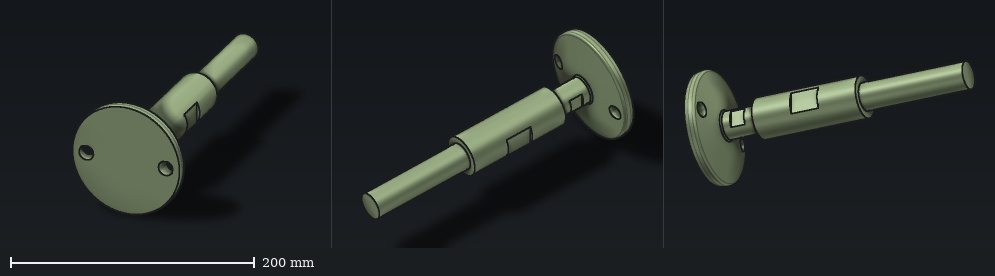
import cadquery as cq
import math

total_length = 237.0

foot_diameter = 98.0
base_edge_radius = 48.3
rim_bevel_height = 3.8
rim_top = 7.3
shoulder_radius = 47.2
shoulder_y = 9.5
collar_radius = 13.3
collar_y = 15.2
neck_start = 16.5

hole_diameter = 12.5
hole_offset = 35.8
hole_reach = 23.7

rod_diameter = 24.0
rod_flat_width = 19.2
rod_flat_length = 12.8
rod_flat_center = 30.3

sleeve_diameter = 36.0
sleeve_length = 95.0
sleeve_start = 47.0
sleeve_flat_width = 30.8
sleeve_flat_length = 25.0
sleeve_center = sleeve_start + sleeve_length / 2

start_y = -total_length / 2


def cylinder_on_axis(diameter, start, length):
    """Cylinder along +Y; start is measured from the base of the foot."""
    plane = cq.Plane(origin=(0, start_y + start, 0), xDir=(1, 0, 0), normal=(0, 1, 0))
    return cq.Workplane(plane).circle(diameter / 2).extrude(length)


def cut_wrench_flats(body, diameter, width, length, center):
    """Cut two opposite flats, facing -X and +X."""
    for side in (-1, 1):
        cutter = cq.Workplane("XY").box(diameter, length, diameter)
        offset = side * (width + diameter) / 2
        body = body.cut(cutter.translate((offset, start_y + center, 0)))
    return body


def make_foot_blank():
    """Revolved plate with a bevelled base edge, a rounded rim and a conical top."""
    rim_radius = foot_diameter / 2
    return (
        cq.Workplane("XY", origin=(0, start_y, 0))
        .moveTo(0, neck_start)
        .lineTo(rod_diameter / 2, neck_start)
        .lineTo(collar_radius, collar_y)
        .lineTo(shoulder_radius, shoulder_y)
        .tangentArcPoint((rim_radius, rim_top), relative=False)
        .lineTo(rim_radius, rim_bevel_height)
        .lineTo(base_edge_radius, 0)
        .lineTo(0, 0)
        .close()
        .revolve(360, (0, 0, 0), (0, 1, 0))
    )


def make_mounting_hole(side):
    """Hole cutter that leans outward, at right angles to the conical top."""
    tilt = math.atan2(collar_y - shoulder_y, shoulder_radius - collar_radius)
    direction = cq.Vector(side * math.sin(tilt), math.cos(tilt), 0)
    base_point = cq.Vector(side * hole_offset, start_y, 0)
    return cq.Solid.makeCylinder(
        hole_diameter / 2, 2 * hole_reach, base_point - direction * hole_reach, direction
    )


def make_foot_with_rod():
    foot = make_foot_blank()
    for side in (-1, 1):
        foot = foot.cut(cq.Workplane(make_mounting_hole(side)))
    rod = cylinder_on_axis(rod_diameter, neck_start, total_length - neck_start)
    rod = cut_wrench_flats(rod, rod_diameter, rod_flat_width, rod_flat_length, rod_flat_center)
    return foot.union(rod)


def make_sleeve():
    outside = cylinder_on_axis(sleeve_diameter, sleeve_start, sleeve_length)
    bore = cylinder_on_axis(rod_diameter, sleeve_start, sleeve_length)
    sleeve = outside.cut(bore)
    return cut_wrench_flats(
        sleeve, sleeve_diameter, sleeve_flat_width, sleeve_flat_length, sleeve_center
    )


foot_with_rod = make_foot_with_rod()
sleeve = make_sleeve()
result = cq.Compound.makeCompound([foot_with_rod.val(), sleeve.val()])